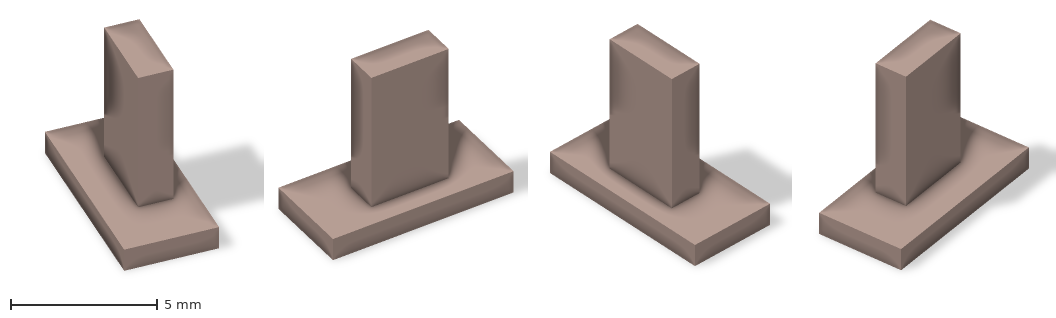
import cadquery as cq

base_length = 7.31
base_width = 3.5
base_thickness = 0.9

total_height = 6.4
post_length = 3.13
post_width = 1.3
post_back_margin = 0.85

post_height = total_height - base_thickness
post_center_y = base_width / 2 - post_back_margin - post_width / 2


def make_base():
    return cq.Workplane("XY").box(
        base_length, base_width, base_thickness, centered=(True, True, False)
    )


def add_post(base):
    return (
        base.faces(">Z")
        .workplane(origin=(0, 0, base_thickness))
        .center(0, post_center_y)
        .rect(post_length, post_width)
        .extrude(post_height)
    )


result = add_post(make_base())